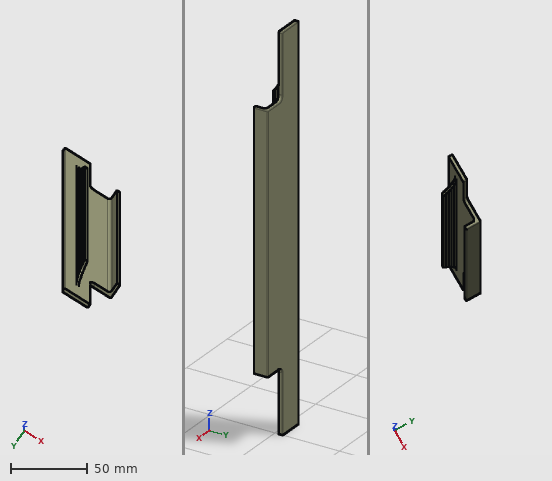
import cadquery as cq
import math

OVERALL_WIDTH = 38.0
OVERALL_DEPTH = 13.0
OVERALL_LENGTH = 295.0

PLATE_THICKNESS = 3.0
STRIP_WIDTH = 20.0
STRIP_CORNER_RADIUS = 1.0
EDGE_RADIUS = 0.5

GRIP_LENGTH = 195.0
NOTCH_RADIUS = 4.0
LIP_DEPTH = 11.0
LIP_THICKNESS = 2.5
LIP_ROOT_RADIUS = 2.0

RIB_OFFSET = 9.0
RIB_CORE_THICKNESS = 2.0
RIB_END_INSET = 23.5
BARB_PITCH = 2.0
BARB_COUNT = 4
BARB_HEIGHT = 0.3

LEFT = -OVERALL_WIDTH / 2
RIGHT = OVERALL_WIDTH / 2
BACK = OVERALL_DEPTH / 2
PLATE_FRONT = BACK - PLATE_THICKNESS
PLATE_MIDDLE = BACK - PLATE_THICKNESS / 2
RIB_TIP = BACK - OVERALL_DEPTH
STRIP_RIGHT = LEFT + STRIP_WIDTH
HALF_LENGTH = OVERALL_LENGTH / 2
HALF_GRIP = GRIP_LENGTH / 2


def nearest(x, y, z):
    return cq.selectors.NearestToPointSelector((x, y, z))


def lipped_profile():
    """Full-length bar with an L section: the plate and the lip along its right side."""
    lip_tip = BACK - LIP_DEPTH
    lip_inner = RIGHT - LIP_THICKNESS
    section = (
        cq.Workplane("XY")
        .moveTo(LEFT, BACK)
        .lineTo(RIGHT, BACK)
        .lineTo(RIGHT, lip_tip)
        .lineTo(lip_inner, lip_tip)
        .lineTo(lip_inner, PLATE_FRONT)
        .lineTo(LEFT, PLATE_FRONT)
        .close()
    )
    bar = section.extrude(HALF_LENGTH, both=True)
    return bar.edges("|Z").edges(nearest(lip_inner, PLATE_FRONT, 0)).fillet(LIP_ROOT_RADIUS)


def plate_envelope():
    """Block with the XZ outline of the plate: narrow strip ends and a wide middle."""
    strip = cq.Workplane("XY").box(STRIP_WIDTH, OVERALL_DEPTH, OVERALL_LENGTH)
    strip = strip.translate((LEFT + STRIP_WIDTH / 2, 0, 0))
    strip = strip.edges("|Y and >X").fillet(STRIP_CORNER_RADIUS)
    middle = cq.Workplane("XY").box(OVERALL_WIDTH, OVERALL_DEPTH, GRIP_LENGTH)
    envelope = strip.union(middle)
    for z in (-HALF_GRIP, HALF_GRIP):
        envelope = envelope.edges("|Y").edges(nearest(STRIP_RIGHT, 0, z)).fillet(NOTCH_RADIUS)
    return envelope


def plate_with_lip():
    """Plate and lip, rounded along the edges of the back, left and right faces."""
    body = lipped_profile().intersect(plate_envelope())
    return body.faces(">Y or <X or >X").edges().fillet(EDGE_RADIUS)


def barbed_side(core_x, barb_x):
    """Sawtooth from the rib tip to the plate; each barb widens towards the plate."""
    points = []
    for i in range(BARB_COUNT):
        barb_start = RIB_TIP + i * BARB_PITCH
        points += [(core_x, barb_start), (barb_x, barb_start + BARB_PITCH)]
    points += [(core_x, RIB_TIP + BARB_COUNT * BARB_PITCH), (core_x, PLATE_MIDDLE)]
    return points


def barbed_bar():
    """Full-length bar with the barbed rib section, rooted inside the plate."""
    core_left = LEFT + RIB_OFFSET
    core_right = core_left + RIB_CORE_THICKNESS
    right_side = barbed_side(core_right, core_right + BARB_HEIGHT)
    left_side = barbed_side(core_left, core_left - BARB_HEIGHT)
    section = cq.Workplane("XY").polyline(right_side + left_side[::-1]).close()
    return section.extrude(HALF_LENGTH, both=True)


def rib_envelope():
    """Block with the YZ outline of the rib: its end arcs leave the plate tangentially."""
    rib_end = HALF_LENGTH - RIB_END_INSET
    run = rib_end - HALF_GRIP
    rise = PLATE_FRONT - RIB_TIP
    radius = (run**2 + rise**2) / (2 * rise)
    half_angle = math.asin(run / radius) / 2
    mid_y = PLATE_FRONT - radius * (1 - math.cos(half_angle))
    mid_z = rib_end - radius * math.sin(half_angle)
    outline = (
        cq.Workplane("YZ")
        .moveTo(PLATE_MIDDLE, rib_end)
        .lineTo(PLATE_FRONT, rib_end)
        .threePointArc((mid_y, mid_z), (RIB_TIP, HALF_GRIP))
        .lineTo(RIB_TIP, -HALF_GRIP)
        .threePointArc((mid_y, -mid_z), (PLATE_FRONT, -rib_end))
        .lineTo(PLATE_MIDDLE, -rib_end)
        .close()
    )
    return outline.extrude(OVERALL_WIDTH / 2, both=True)


def barbed_rib():
    return barbed_bar().intersect(rib_envelope())


result = plate_with_lip().union(barbed_rib())